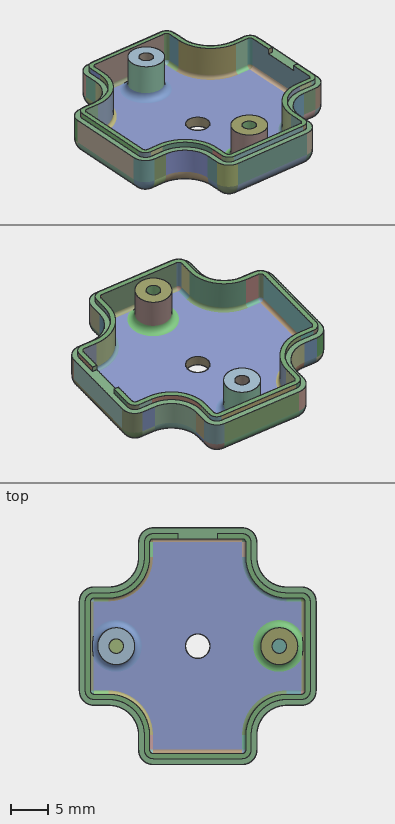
import cadquery as cq
import math

size = 32.0
arm_width = size / 2
corner_radius = size / 16
valley_radius = 2 * corner_radius

floor_thickness = 1.5
ledge_height = 5.5
rim_height = 6.27
boss_height = 6.75

lip_inset = 0.8
wall_thickness = 1.5
bottom_round = corner_radius
floor_fillet = 0.48

notch_width = 5.35

boss_spacing = 22.0
boss_diameter = 5.0
boss_flare = 1.0
screw_hole_diameter = 1.95
centre_hole_diameter = 3.25


def cross_prism(inset, bottom, top):
    """Extrude the cross outline, moved inward by inset, between two heights."""
    reach = size / 2 - inset
    half_arm = arm_width / 2 - inset
    corner = corner_radius - inset
    valley = valley_radius + inset
    valley_centre = arm_width / 2 + valley_radius
    corner_mid = corner * (1 - math.sqrt(0.5))
    valley_mid = valley_centre - valley * math.sqrt(0.5)

    quarter = [
        ("line", (reach, half_arm - corner)),
        ("arc", (reach - corner_mid, half_arm - corner_mid), (reach - corner, half_arm)),
        ("line", (valley_centre, half_arm)),
        ("arc", (valley_mid, valley_mid), (half_arm, valley_centre)),
        ("line", (half_arm, reach - corner)),
        ("arc", (half_arm - corner_mid, reach - corner_mid), (half_arm - corner, reach)),
    ]

    outline = cq.Workplane("XY").workplane(offset=bottom).moveTo(reach, corner - half_arm)
    for turn in range(4):
        for kind, *points in quarter:
            for _ in range(turn):
                points = [(-y, x) for x, y in points]
            if kind == "line":
                outline = outline.lineTo(*points[0])
            else:
                outline = outline.threePointArc(*points)
    return outline.close().extrude(top - bottom)


def make_tray():
    """Hollow cross with a rounded underside and a raised, stepped-in lip."""
    body = cross_prism(0, 0, ledge_height).faces("<Z").edges().fillet(bottom_round)
    lip = cross_prism(lip_inset, floor_thickness, rim_height)
    cavity = cross_prism(wall_thickness, floor_thickness, rim_height)
    cavity = cavity.faces("<Z").edges().fillet(floor_fillet)
    return body.union(lip).cut(cavity)


def make_lip_notch():
    """Box that takes the lip down to the ledge in the middle of the +Y arm."""
    return (
        cq.Workplane("XY")
        .workplane(offset=ledge_height)
        .center(0, size / 2 - wall_thickness / 2)
        .rect(notch_width, wall_thickness)
        .extrude(rim_height - ledge_height)
    )


def make_boss(x):
    """Round boss standing on the floor, with a concave flare at its foot."""
    radius = boss_diameter / 2
    flare_top = floor_thickness + boss_flare
    flare_mid = boss_flare * (1 - math.sqrt(0.5))
    return (
        cq.Workplane("XZ")
        .moveTo(0, floor_thickness)
        .lineTo(radius + boss_flare, floor_thickness)
        .threePointArc((radius + flare_mid, floor_thickness + flare_mid), (radius, flare_top))
        .lineTo(radius, boss_height)
        .lineTo(0, boss_height)
        .close()
        .revolve(360, (0, 0, 0), (0, 1, 0))
        .translate((x, 0, 0))
    )


def make_hole(x, diameter, bottom):
    """Vertical round cutter from a height up to the boss tops."""
    return (
        cq.Workplane("XY")
        .workplane(offset=bottom)
        .center(x, 0)
        .circle(diameter / 2)
        .extrude(boss_height - bottom)
    )


result = make_tray().cut(make_lip_notch())
for boss_x in (-boss_spacing / 2, boss_spacing / 2):
    result = result.union(make_boss(boss_x))
    result = result.cut(make_hole(boss_x, screw_hole_diameter, floor_thickness))
result = result.cut(make_hole(0, centre_hole_diameter, 0))